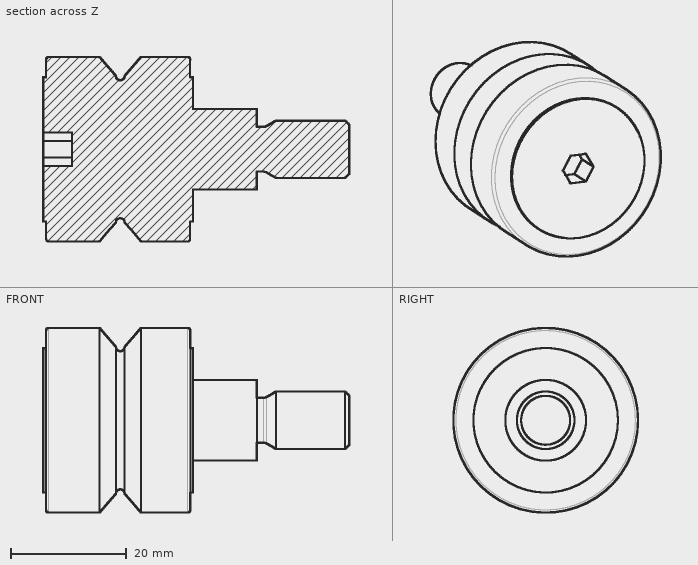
import cadquery as cq
import math


roller_radius = 16.0
roller_width = 24.95
roller_edge_fillet = 0.5
collar_radius = 12.5
collar_height = 0.505

groove_center_x = 13.35
groove_mouth_width = 7.15
relief_radius = 0.75
relief_center_radius = 12.7

total_length = 53
shoulder_radius = 7.0
shoulder_end_x = 37.0
neck_radius = 3.9
shank_radius = 5.0
shank_start_x = 40.3
tip_chamfer = 0.75
neck_blend_radius = 1.0
neck_cone_angle = math.radians(30)

socket_across_flats = 5.0
socket_depth = 5.0

roller_start_x = collar_height
roller_end_x = roller_start_x + roller_width
collar_end_x = roller_end_x + collar_height


def cylinder(start_x, end_x, radius):
    """Cylinder about the X axis."""
    return cq.Workplane("YZ", origin=(start_x, 0, 0)).circle(radius).extrude(end_x - start_x)


def revolve_about_x(profile):
    """Revolve a closed XY profile around the X axis."""
    return profile.close().revolve(360, (0, 0, 0), (1, 0, 0))


def make_roller():
    roller = cylinder(roller_start_x, roller_end_x, roller_radius)
    roller = roller.edges().fillet(roller_edge_fillet)
    collars = cylinder(0, collar_end_x, collar_radius)
    half_mouth = groove_mouth_width / 2
    groove = revolve_about_x(
        cq.Workplane("XY")
        .moveTo(groove_center_x - half_mouth, roller_radius)
        .lineTo(groove_center_x - relief_radius, relief_center_radius)
        .threePointArc(
            (groove_center_x, relief_center_radius - relief_radius),
            (groove_center_x + relief_radius, relief_center_radius),
        )
        .lineTo(groove_center_x + half_mouth, roller_radius)
    )
    return roller.union(collars).cut(groove)


def make_stud():
    def blend_radius_at(angle):
        return neck_radius + neck_blend_radius * (1 - math.cos(angle))

    cone_start_radius = blend_radius_at(neck_cone_angle)
    cone_start_x = shank_start_x - (shank_radius - cone_start_radius) / math.tan(neck_cone_angle)
    blend_start_x = cone_start_x - neck_blend_radius * math.sin(neck_cone_angle)
    half_angle = neck_cone_angle / 2
    blend_middle_x = blend_start_x + neck_blend_radius * math.sin(half_angle)

    return revolve_about_x(
        cq.Workplane("XY")
        .moveTo(roller_end_x, 0)
        .lineTo(roller_end_x, shoulder_radius)
        .lineTo(shoulder_end_x, shoulder_radius)
        .lineTo(shoulder_end_x, neck_radius)
        .lineTo(blend_start_x, neck_radius)
        .threePointArc(
            (blend_middle_x, blend_radius_at(half_angle)),
            (cone_start_x, cone_start_radius),
        )
        .lineTo(shank_start_x, shank_radius)
        .lineTo(total_length - tip_chamfer, shank_radius)
        .lineTo(total_length, shank_radius - tip_chamfer)
        .lineTo(total_length, 0)
    )


def make_socket():
    """Hexagonal pocket with two corners along Y."""
    across_corners = socket_across_flats / math.cos(math.pi / 6)
    return cq.Workplane("YZ").polygon(6, across_corners).extrude(socket_depth)


result = make_roller().union(make_stud()).cut(make_socket())